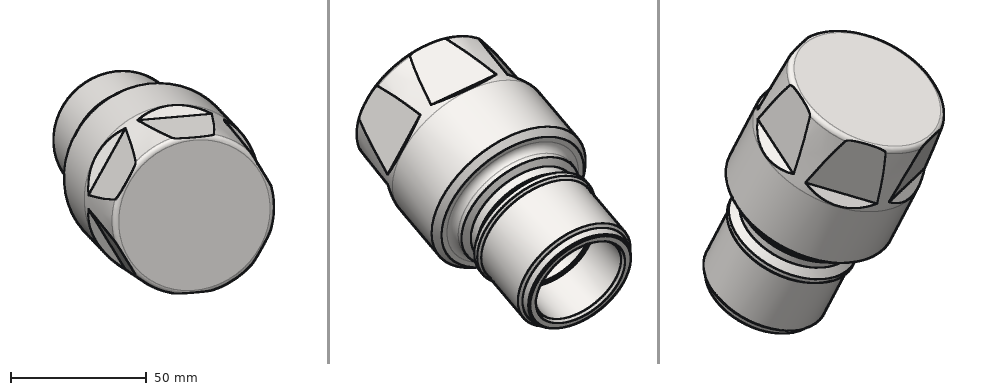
import cadquery as cq
import math

length = 107.0
lip_end = 3.3
spigot_start = 4.3
spigot_end = 29.6
rib_start = 30.7
rib_end = 32.7
groove_start = 35.7
groove_end = 39.9
collar_start = 41.6
collar_end = 43.9
body_start = 46.9
body_full = 49.6
grip_start = 76.8

mouth_radius = 21.8
lip_start_radius = 22.4
lip_radius = 23.1
lip_chamfer = 0.5
spigot_radius = 24.5
rib_radius = 25.6
groove_radius = 22.6
body_face_radius = 30.9
body_radius = 33.5

grip_taper = 5.0
grip_edge_round = 2.0
flat_count = 6
flat_distance = 30.0
flat_start = 80.8
flat_runout_angle = 45.0

bore_radius = 18.6
mouth_bore_radius = 19.4
mouth_chamfer = 1.5
seat_radius = 17.3
seat_chamfer = 0.4
bore_depth = 20.3
seat_depth = 36.4
plug_radius = 11.8
plug_height = 4.7


def revolve_about_x(profile):
    return profile.close().revolve(360, (0, 0, 0), (1, 0, 0))


def make_outer_body():
    """Turned body with a concave blend between the collar and the body face."""
    blend_radius = body_start - collar_end
    blend_offset = blend_radius * math.sqrt(0.5)
    blend_middle = (collar_end + blend_offset, rib_radius + blend_radius - blend_offset)
    grip_drop = (length - grip_start) * math.tan(math.radians(grip_taper))
    profile = (
        cq.Workplane("XY")
        .moveTo(0, 0)
        .lineTo(0, mouth_radius)
        .lineTo(lip_chamfer, lip_start_radius)
        .lineTo(lip_end, lip_radius)
        .lineTo(spigot_start, spigot_radius)
        .lineTo(spigot_end, spigot_radius)
        .lineTo(rib_start, rib_radius)
        .lineTo(rib_end, rib_radius)
        .lineTo(groove_start, groove_radius)
        .lineTo(groove_end, groove_radius)
        .lineTo(collar_start, rib_radius)
        .lineTo(collar_end, rib_radius)
        .threePointArc(blend_middle, (body_start, rib_radius + blend_radius))
        .lineTo(body_start, body_face_radius)
        .lineTo(body_full, body_radius)
        .lineTo(grip_start, body_radius)
        .lineTo(length, body_radius - grip_drop)
        .lineTo(length, 0)
    )
    return revolve_about_x(profile).faces(">X").edges().fillet(grip_edge_round)


def cut_grip_flats(body):
    """Six flats parallel to the axis, each running out on a sloping shoulder."""
    cut_height = 2 * (body_radius - flat_distance)
    runout = cut_height / math.tan(math.radians(flat_runout_angle))
    top = flat_distance + cut_height
    cutter = (
        cq.Workplane("XZ")
        .moveTo(flat_start, flat_distance)
        .lineTo(length, flat_distance)
        .lineTo(length, top)
        .lineTo(flat_start - runout, top)
        .close()
        .extrude(body_radius, both=True)
    )
    for index in range(flat_count):
        body = body.cut(cutter.rotate((0, 0, 0), (1, 0, 0), index * 360 / flat_count))
    return body


def make_bore():
    """Stepped blind bore that leaves a conical plug standing on its floor."""
    profile = (
        cq.Workplane("XY")
        .moveTo(0, 0)
        .lineTo(0, mouth_bore_radius)
        .lineTo(mouth_chamfer, bore_radius)
        .lineTo(bore_depth, bore_radius)
        .lineTo(bore_depth, seat_radius + seat_chamfer)
        .lineTo(bore_depth + seat_chamfer, seat_radius)
        .lineTo(seat_depth, seat_radius)
        .lineTo(seat_depth, plug_radius)
        .lineTo(seat_depth - plug_height, 0)
    )
    return revolve_about_x(profile)


result = cut_grip_flats(make_outer_body()).cut(make_bore())